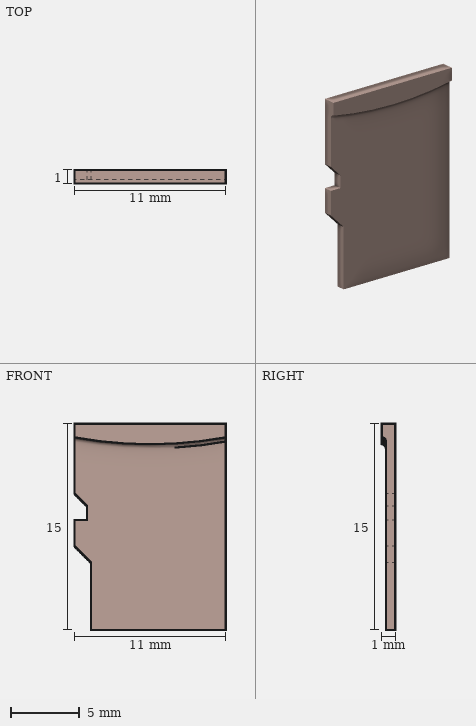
import cadquery as cq
import math

width = 11.0
height = 15.0
total_thickness = 1.0
lip_depth = 0.3
plate_thickness = total_thickness - lip_depth

notch_depth = 0.9
notch_bottom = 8.01
notch_top = 9.9
step_depth = 1.2
step_top = 6.09

lip_end_height = 1.0
lip_middle_height = 1.5
lip_fillet = lip_depth


def make_plate():
    outline = [
        (0, height),
        (0, notch_top),
        (notch_depth, notch_top - notch_depth),
        (notch_depth, notch_bottom),
        (0, notch_bottom),
        (0, step_top),
        (step_depth, step_top - step_depth),
        (step_depth, 0),
        (width, 0),
        (width, height),
    ]
    return cq.Workplane("XZ").polyline(outline).close().extrude(plate_thickness)


def make_lip():
    """Disc flared by a concave fillet at the plate, trimmed to the top strip."""
    sagitta = lip_middle_height - lip_end_height
    arc_radius = ((width / 2) ** 2 + sagitta**2) / (2 * sagitta)
    arc_center_z = height - lip_middle_height + arc_radius
    front_y = -total_thickness
    plate_y = -plate_thickness
    midpoint_inset = lip_fillet * (1 - math.cos(math.radians(45)))
    disc = (
        cq.Workplane("XY")
        .moveTo(0, plate_y)
        .lineTo(arc_radius + lip_fillet, plate_y)
        .threePointArc(
            (arc_radius + midpoint_inset, plate_y - midpoint_inset),
            (arc_radius, front_y),
        )
        .lineTo(0, front_y)
        .close()
        .revolve(360, (0, 0, 0), (0, 1, 0))
        .translate((width / 2, 0, arc_center_z))
    )
    strip_height = lip_middle_height + lip_fillet
    strip = (
        cq.Workplane("XY")
        .box(width, total_thickness, strip_height, centered=False)
        .translate((0, front_y, height - strip_height))
    )
    return strip.intersect(disc)


result = make_plate().union(make_lip())